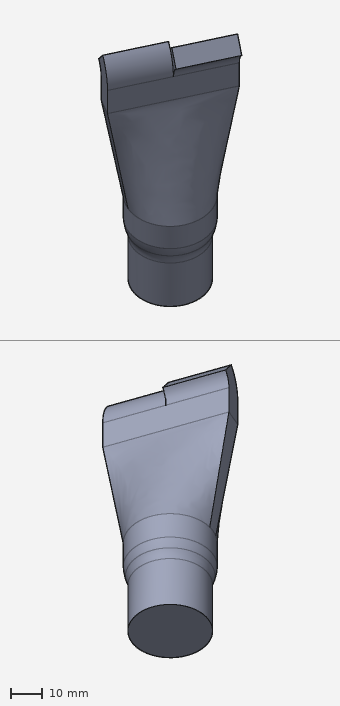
import cadquery as cq
import math

shank_radius = 13.5
collar_radius = 15.0
neck_fillet_radius = 10.0
shank_height = 18.8
collar_top_height = 36.0

blade_thickness = 7.0
blade_width = 44.0
blade_base_height = 80.0
bend_start_height = 90.0
bend_inner_radius = 6.93
total_height = 100.77
lip_gap = 0.1

neck_half_step = (collar_radius - shank_radius) / 2
neck_half_height = math.sqrt(neck_half_step * (2 * neck_fillet_radius - neck_half_step))
neck_half_angle = math.asin(neck_half_height / neck_fillet_radius) / 2
neck_mid_radius = shank_radius + neck_half_step
neck_mid_height = shank_height + neck_half_height
collar_base_height = neck_mid_height + neck_half_height

half_thickness = blade_thickness / 2
half_width = blade_width / 2

bend_outer_radius = bend_inner_radius + blade_thickness
bend_angle = math.asin((total_height - bend_start_height) / bend_outer_radius)


def make_shank():
    """Revolved shank, S-shaped neck and collar."""
    arc_mid_step = neck_fillet_radius * (1 - math.cos(neck_half_angle))
    arc_mid_rise = neck_fillet_radius * math.sin(neck_half_angle)
    return (
        cq.Workplane("XZ")
        .moveTo(0, 0)
        .lineTo(shank_radius, 0)
        .lineTo(shank_radius, shank_height)
        .threePointArc(
            (shank_radius + arc_mid_step, shank_height + arc_mid_rise),
            (neck_mid_radius, neck_mid_height),
        )
        .threePointArc(
            (collar_radius - arc_mid_step, collar_base_height - arc_mid_rise),
            (collar_radius, collar_base_height),
        )
        .lineTo(collar_radius, collar_top_height)
        .lineTo(0, collar_top_height)
        .close()
        .revolve(360, (0, 0), (0, 1))
    )


def make_transition():
    """Ruled loft from the collar circle, split towards the blade corners, to the blade rectangle."""
    corner_angle = math.atan2(half_width, half_thickness)
    corner_x = collar_radius * math.cos(corner_angle)
    corner_y = collar_radius * math.sin(corner_angle)
    circle = (
        cq.Workplane("XY", origin=(0, 0, collar_top_height))
        .moveTo(corner_x, -corner_y)
        .threePointArc((collar_radius, 0), (corner_x, corner_y))
        .threePointArc((0, collar_radius), (-corner_x, corner_y))
        .threePointArc((-collar_radius, 0), (-corner_x, -corner_y))
        .threePointArc((0, -collar_radius), (corner_x, -corner_y))
        .wire()
        .val()
    )
    rectangle = (
        cq.Workplane("XY", origin=(0, 0, blade_base_height))
        .moveTo(half_thickness, -half_width)
        .lineTo(half_thickness, half_width)
        .lineTo(-half_thickness, half_width)
        .lineTo(-half_thickness, -half_width)
        .close()
        .val()
    )
    return cq.Workplane(cq.Solid.makeLoft([circle, rectangle], True))


def make_blade():
    """Straight flat part of the blade."""
    return cq.Workplane("XY", origin=(0, 0, blade_base_height)).box(
        blade_thickness,
        blade_width,
        bend_start_height - blade_base_height,
        centered=(True, True, False),
    )


def make_lip(bend_side):
    """Lip on one half of the blade, bent towards -X (bend_side = -1) or +X (bend_side = 1).

    The -X lip stands on the -Y half and the +X lip on the +Y half, with a thin gap between them.
    """
    center_offset = half_thickness + bend_inner_radius

    def bend_point(radius, angle):
        x = bend_side * (center_offset - radius * math.cos(angle))
        return (x, bend_start_height + radius * math.sin(angle))

    inner_x = bend_side * half_thickness
    lip_start = bend_side * lip_gap / 2
    lip_length = half_width - lip_gap / 2
    return (
        cq.Workplane("XZ", origin=(0, lip_start, 0))
        .moveTo(inner_x, bend_start_height)
        .threePointArc(
            bend_point(bend_inner_radius, bend_angle / 2),
            bend_point(bend_inner_radius, bend_angle),
        )
        .lineTo(*bend_point(bend_outer_radius, bend_angle))
        .threePointArc(
            bend_point(bend_outer_radius, bend_angle / 2),
            (-inner_x, bend_start_height),
        )
        .close()
        .extrude(-bend_side * lip_length)
    )


result = make_shank().union(make_transition()).union(make_blade())
for side in (-1, 1):
    result = result.union(make_lip(side))
result = result.clean()